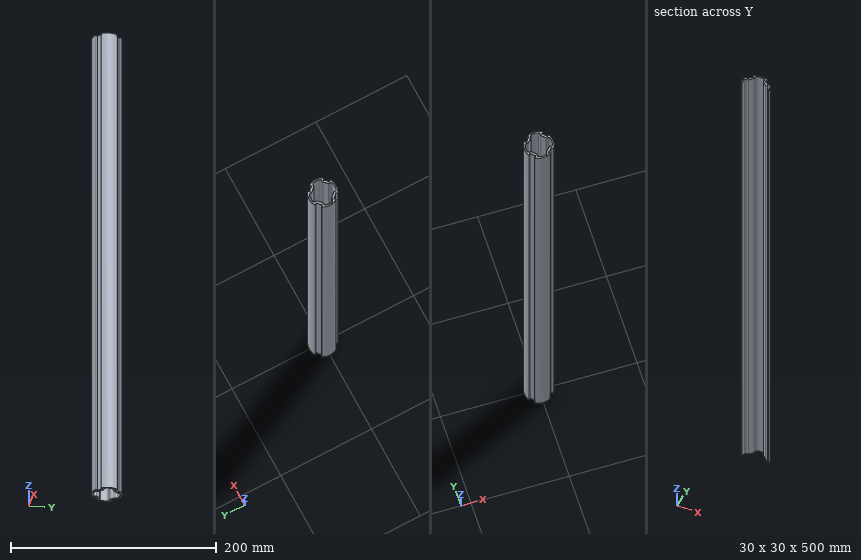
import cadquery as cq
import math

length = 500.0
outer_diameter = 30.0
bore_diameter = 26.5

groove_count = 4
first_groove_angle = 45.0
groove_floor_diameter = 25.0
groove_width = 6.0
groove_lip_radius = 0.5

rib_face_distance = 10.0
rib_face_width = 6.0
rib_root_width = 11.0
rib_corner_radius = 0.5
rib_root_radius = 1.5

outer_radius = outer_diameter / 2
bore_radius = bore_diameter / 2
position_tolerance = 0.05


def cylinder(diameter):
    """Full-length round bar on the tube axis."""
    return cq.Workplane("XY").circle(diameter / 2).extrude(length)


def cut_diagonals(body, inner_distance, inner_width, edge_distance, edge_width):
    """Cut a full-length slot on each groove diagonal, keeping edge_width from edge_distance outwards."""
    half_outline = [
        (inner_distance, inner_width / 2),
        (edge_distance, edge_width / 2),
        (outer_diameter, edge_width / 2),
    ]
    mirrored = [(distance, -half_width) for distance, half_width in reversed(half_outline)]
    slot = cq.Workplane("XY").polyline(half_outline + mirrored).close().extrude(length)
    for index in range(groove_count):
        angle = first_groove_angle + index * 360 / groove_count
        body = body.cut(slot.rotate((0, 0, 0), (0, 0, 1), angle))
    return body


def round_corners(body, axis_distance, radius):
    """Fillet the lengthwise corners at one distance from the tube axis."""

    def is_corner(edge):
        center = edge.Center()
        at_distance = abs(math.hypot(center.x, center.y) - axis_distance) < position_tolerance
        on_seam = abs(center.y) < position_tolerance
        return at_distance and not on_seam

    return body.edges("|Z").filter(is_corner).fillet(radius)


rib_root_distance = math.sqrt(bore_radius**2 - (rib_root_width / 2) ** 2)
bore = cut_diagonals(
    cylinder(bore_diameter), rib_face_distance, rib_face_width, rib_root_distance, rib_root_width
)
bore = round_corners(bore, math.hypot(rib_face_distance, rib_face_width / 2), rib_corner_radius)
bore = round_corners(bore, bore_radius, rib_root_radius)

body = cut_diagonals(
    cylinder(outer_diameter), rib_face_distance, groove_width, outer_radius, groove_width
)
body = round_corners(body, outer_radius, groove_lip_radius)
body = body.union(cylinder(groove_floor_diameter))

result = body.cut(bore)